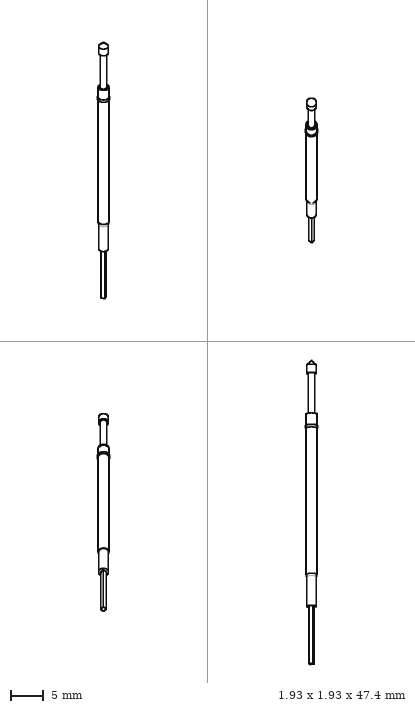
import cadquery as cq
import math

overall_length = 47.35

head_diameter = 1.5
head_length = 1.25
tip_length = 0.75
shaft_diameter = 1.0
barrel_diameter = 1.36

sleeve_diameter = 1.68
lower_diameter = 1.5
bore_diameter = 1.38
ring_diameter = 1.93
ring_arc_radius = 0.25
tail_width = 0.64

sleeve_bottom = 9.0
taper_bottom = 13.65
taper_top = 14.0
ring_middle = 36.9925
sleeve_top = 39.0
bore_bottom = taper_top

head_top = overall_length - tip_length
head_bottom = head_top - head_length

ring_arc_centre = ring_diameter / 2 - ring_arc_radius
ring_half_angle = math.acos((sleeve_diameter / 2 - ring_arc_centre) / ring_arc_radius)


def ring_point(angle):
    """Point (radius, height) on the ring's arc, at an angle above its widest point."""
    return (
        ring_arc_centre + ring_arc_radius * math.cos(angle),
        ring_middle + ring_arc_radius * math.sin(angle),
    )


def revolve_about_z(outline):
    """Close a (radius, height) outline and turn it about the Z axis."""
    return outline.close().revolve(360, (0, 0, 0), (0, 1, 0))


def make_plunger():
    outline = cq.Workplane("XZ").polyline([
        (0, bore_bottom),
        (barrel_diameter / 2, bore_bottom),
        (barrel_diameter / 2, sleeve_top),
        (shaft_diameter / 2, sleeve_top),
        (shaft_diameter / 2, head_bottom),
        (head_diameter / 2, head_bottom),
        (head_diameter / 2, head_top),
        (0, overall_length),
    ])
    return revolve_about_z(outline)


def make_socket():
    outline = (
        cq.Workplane("XZ")
        .moveTo(0, sleeve_bottom)
        .lineTo(lower_diameter / 2, sleeve_bottom)
        .lineTo(lower_diameter / 2, taper_bottom)
        .lineTo(sleeve_diameter / 2, taper_top)
        .lineTo(*ring_point(-ring_half_angle))
        .threePointArc(ring_point(-ring_half_angle / 2), ring_point(0))
        .threePointArc(ring_point(ring_half_angle / 2), ring_point(ring_half_angle))
        .lineTo(sleeve_diameter / 2, sleeve_top)
        .lineTo(bore_diameter / 2, sleeve_top)
        .lineTo(bore_diameter / 2, bore_bottom)
        .lineTo(0, bore_bottom)
    )
    sleeve = revolve_about_z(outline)
    tail = cq.Workplane("XY").rect(tail_width, tail_width).extrude(sleeve_bottom)
    return sleeve.union(tail).solids()


plunger = make_plunger()
socket = make_socket()
result = cq.Compound.makeCompound([plunger.val(), socket.val()])